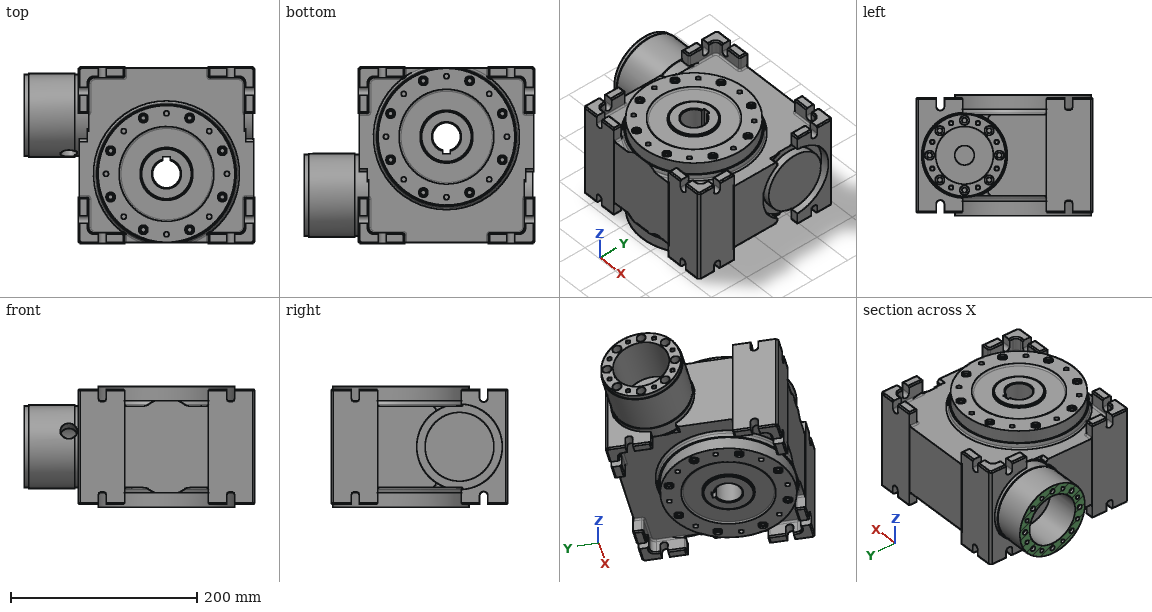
import cadquery as cq
import math


core_length_x = 188.0
core_width_y = 188.0
core_half_height = 43.7
housing_center_y = 20.0

post_overhang = 1.0
post_half_x = core_length_x / 2 + post_overhang
post_half_y = core_width_y / 2 + post_overhang
post_half_height = 62.0
post_leg_length = 50.0
post_leg_thickness = 11.5
post_inner_radius = 6.0
post_tip_radius = 2.0
post_corner_chamfer = 2.5
post_end_chamfer = 1.6
post_foot_radius = 2.0
slot_width = 8.5
slot_depth = 13.7
slot_offset = 69.0

flange_diameter = 147.0
flange_top = 65.0
flange_bottom = 49.5
neck_top_radius = 75.0
neck_base_radius = 76.5
neck_fillet = 2.0
recess_diameter = 102.0
recess_depth = 2.0
recess_fillet = 1.9
collar_diameter = 57.0
collar_height = 1.0
hub_diameter = 55.0
hub_chamfer = 0.8
bore_diameter = 30.0
bore_chamfer = 1.0
key_width = 8.0
key_top = 18.3
bolt_circle_radius = 65.0
hole_count = 8
screw_diameter = 5.5
counterbore_diameter = 10.0
flange_counterbore_depth = 7.0
screw_head_diameter = 8.5
screw_head_sink = 2.0
flange_hole_depth = 15.0

worm_y = 63.0
tube_end_x = -153.0
tube_diameter = 90.0
tube_rim_diameter = 88.0
tube_rim_length = 5.0
tube_body_end_x = -98.5
tube_bore_diameter = 62.0
tube_bore_end_x = -95.0
shaft_bore_diameter = 21.0
shaft_bore_depth = 30.0
tube_bolt_radius = 37.5
tube_counterbore_depth = 12.0
tube_hole_depth = 20.0
tap_diameter = 4.2
tap_mouth_diameter = 5.0
drill_point_angle = 118.0
access_diameter = 18.0
access_x = -105.0
access_angle = 22.5

barrel_diameter = 74.0
barrel_end_x = 93.0
clearance_diameter = 92.0
clearance_length = 10.5
clearance_bottom_x = core_length_x / 2 - clearance_length
relief_length = 9.0
relief_edge_y = 37.7
relief_slope_run = 3.0
relief_floor_z = 33.0


def x_cylinder(diameter, x_start, x_end):
    """Cylinder on the worm axis between two X positions."""
    return (
        cq.Workplane("YZ", origin=(x_start, worm_y, 0))
        .circle(diameter / 2)
        .extrude(x_end - x_start)
    )


def polar_points(radius, start_angle):
    """Equally spaced hole centres on a bolt circle."""
    points = []
    for index in range(hole_count):
        angle = math.radians(start_angle + index * 360 / hole_count)
        points.append((radius * math.cos(angle), radius * math.sin(angle)))
    return points


def make_corner_post(side_x, side_y):
    """L-shaped post of one vertical housing corner, chamfered around both ends."""
    outline = [
        (0, 0),
        (post_leg_length, 0),
        (post_leg_length, post_leg_thickness),
        (post_leg_thickness, post_leg_thickness),
        (post_leg_thickness, post_leg_length),
        (0, post_leg_length),
    ]
    corner_x = side_x * post_half_x
    corner_y = housing_center_y + side_y * post_half_y
    placed = [(corner_x - side_x * u, corner_y - side_y * v) for u, v in outline]
    post = (
        cq.Workplane("XY", origin=(0, 0, -post_half_height))
        .polyline(placed)
        .close()
        .extrude(2 * post_half_height)
    )
    inner_x = corner_x - side_x * post_leg_thickness
    inner_y = corner_y - side_y * post_leg_thickness
    post = post.edges(cq.selectors.NearestToPointSelector((inner_x, inner_y, 0))).fillet(post_inner_radius)
    outer_edge = cq.selectors.NearestToPointSelector((corner_x, corner_y, 0))
    post = post.edges(outer_edge).chamfer(post_corner_chamfer)
    tip_x = corner_x - side_x * post_leg_length
    tip_y = corner_y - side_y * post_leg_length
    for tip in ((tip_x, inner_y, 0), (inner_x, tip_y, 0)):
        post = post.edges(cq.selectors.NearestToPointSelector(tip)).fillet(post_tip_radius)
    return post.faces("|Z").chamfer(post_end_chamfer)


def make_housing():
    """Core block joined to four posts, with a rounded foot where each post meets the core."""
    posts = cq.Workplane("XY")
    for side_x in (-1, 1):
        for side_y in (-1, 1):
            posts = posts.add(make_corner_post(side_x, side_y))
    posts = posts.combine()
    column = (
        cq.Workplane("XY")
        .box(core_length_x, core_width_y, 2 * post_half_height)
        .edges("|Z")
        .chamfer(post_corner_chamfer)
        .translate((0, housing_center_y, 0))
    )
    core_slab = (
        cq.Workplane("XY")
        .box(core_length_x, core_width_y, 2 * core_half_height)
        .translate((0, housing_center_y, 0))
    )
    core = core_slab.union(posts).intersect(column).clean()
    for side_z in (-1, 1):
        inner_corners = [
            (side_x * (post_half_x - post_leg_thickness - post_inner_radius),
             housing_center_y + side_y * (post_half_y - post_leg_thickness),
             side_z * core_half_height)
            for side_x in (-1, 1)
            for side_y in (-1, 1)
        ]
        for corner in inner_corners:
            core = core.edges(cq.selectors.NearestToPointSelector(corner)).fillet(post_foot_radius)
    return core.union(posts)


def make_slots():
    """Round-bottomed clamping slots in both legs and both ends of every post."""
    radius = slot_width / 2
    arc_z = post_half_height - slot_depth + radius
    above = post_half_height + radius
    slots = cq.Workplane("XY")
    for side_x in (-1, 1):
        for side_y in (-1, 1):
            for side_z in (-1, 1):
                leg_x = side_x * (post_half_x - post_leg_thickness / 2)
                leg_y = housing_center_y + side_y * (post_half_y - post_leg_thickness / 2)
                centers = {
                    "XZ": (side_x * slot_offset, leg_y),
                    "YZ": (leg_x, housing_center_y + side_y * slot_offset),
                }
                for plane, (x, y) in centers.items():
                    cutter = (
                        cq.Workplane(plane, origin=(x, y, 0))
                        .moveTo(-radius, side_z * above)
                        .lineTo(-radius, side_z * arc_z)
                        .threePointArc((0, side_z * (arc_z - radius)), (radius, side_z * arc_z))
                        .lineTo(radius, side_z * above)
                        .close()
                        .extrude(post_leg_thickness / 2 + post_overhang, both=True)
                    )
                    slots = slots.add(cutter)
    return slots.combine()


def flange_pins(points, diameter, sink, depth):
    """Upright cylinders reaching down from a level below the flange top face."""
    return (
        cq.Workplane("XY", origin=(0, 0, flange_top - sink))
        .pushPoints(points)
        .circle(diameter / 2)
        .extrude(-depth)
    )


def make_flange():
    """Upper output flange with flared neck, recess, stepped hub and socket-head screws."""
    arc_inset = neck_fillet * (1 - math.sqrt(0.5))
    neck = (
        cq.Workplane("XZ")
        .moveTo(0, 0)
        .lineTo(neck_base_radius + neck_fillet, 0)
        .lineTo(neck_base_radius + neck_fillet, core_half_height)
        .threePointArc(
            (neck_base_radius + arc_inset, core_half_height + arc_inset),
            (neck_base_radius, core_half_height + neck_fillet),
        )
        .lineTo(neck_top_radius, flange_bottom)
        .lineTo(0, flange_bottom)
        .close()
        .revolve(360, (0, 0, 0), (0, 1, 0))
    )
    front_y = housing_center_y - core_width_y / 2
    reach = 2 * flange_diameter
    neck = neck.intersect(
        cq.Workplane("XY").box(reach, reach, reach).translate((0, front_y + reach / 2, 0))
    )
    disc = (
        cq.Workplane("XY", origin=(0, 0, flange_bottom))
        .circle(flange_diameter / 2)
        .extrude(flange_top - flange_bottom)
    )
    recess = (
        cq.Workplane("XY", origin=(0, 0, flange_top - recess_depth))
        .circle(recess_diameter / 2)
        .extrude(recess_depth)
        .faces("<Z")
        .edges()
        .fillet(recess_fillet)
    )
    hub = (
        cq.Workplane("XY", origin=(0, 0, flange_top - recess_depth))
        .circle(hub_diameter / 2)
        .extrude(recess_depth)
        .faces(">Z")
        .chamfer(hub_chamfer)
    )
    collar = (
        cq.Workplane("XY", origin=(0, 0, flange_top - recess_depth))
        .circle(collar_diameter / 2)
        .extrude(collar_height)
    )
    flange = neck.union(disc).cut(recess).union(collar).union(hub)
    screw_points = polar_points(bolt_circle_radius, 180 / hole_count)
    plain_points = polar_points(bolt_circle_radius, 0)
    socket_depth = flange_counterbore_depth - screw_head_sink
    flange = flange.cut(flange_pins(screw_points, counterbore_diameter, 0, flange_counterbore_depth))
    flange = flange.cut(flange_pins(plain_points, screw_diameter, 0, flange_hole_depth))
    heads = flange_pins(screw_points, screw_head_diameter, screw_head_sink, socket_depth)
    sockets = flange_pins(screw_points, screw_diameter, screw_head_sink, socket_depth / 2)
    return flange.union(heads.cut(sockets))


def make_output_bore():
    """Through bore with keyway and a chamfer at each mouth."""
    radius = bore_diameter / 2
    bore = cq.Workplane("XY").circle(radius).extrude(flange_top, both=True)
    keyway = (
        cq.Workplane("XY")
        .box(key_width, key_top, 2 * flange_top)
        .translate((0, key_top / 2, 0))
    )
    mouth = cq.Workplane("XY").add(
        cq.Solid.makeCone(radius, radius + bore_chamfer, bore_chamfer,
                          cq.Vector(0, 0, flange_top - bore_chamfer))
    )
    return bore.union(keyway).union(mouth).union(mouth.mirror("XY"))


def make_relief(side_x, side_z):
    """Cutter that opens the core beside the worm axis, with a sloped end wall."""
    outer_x = side_x * core_length_x / 2
    inner_x = outer_x - side_x * relief_length
    back_y = housing_center_y + post_half_y - post_leg_length
    slope_y = relief_edge_y - relief_slope_run
    return (
        cq.Workplane("YZ", origin=(inner_x, 0, 0))
        .moveTo(back_y, side_z * core_half_height)
        .lineTo(slope_y, side_z * core_half_height)
        .lineTo(relief_edge_y, side_z * (core_half_height - relief_slope_run))
        .lineTo(relief_edge_y, side_z * relief_floor_z)
        .lineTo(back_y, side_z * relief_floor_z)
        .close()
        .extrude(outer_x - inner_x)
    )


def make_tube():
    """Motor tube with a narrower rim at each end, seated in the core clearance."""
    body_start_x = tube_end_x + tube_rim_length
    tube = x_cylinder(tube_rim_diameter, tube_end_x, -clearance_bottom_x)
    return tube.union(x_cylinder(tube_diameter, body_start_x, tube_body_end_x))


def make_tube_cuts():
    """Tube bore, worm shaft bore, end-face holes and the inclined access hole."""
    cuts = x_cylinder(tube_bore_diameter, tube_end_x, tube_bore_end_x)
    cuts = cuts.union(
        x_cylinder(shaft_bore_diameter, tube_bore_end_x, tube_bore_end_x + shaft_bore_depth)
    )
    hole_sets = (
        (screw_diameter, tube_hole_depth, 0),
        (counterbore_diameter, tube_counterbore_depth, 0),
        (tap_diameter, tube_hole_depth, 180 / hole_count),
    )
    for diameter, depth, start_angle in hole_sets:
        holes = (
            cq.Workplane("YZ", origin=(tube_end_x, worm_y, 0))
            .pushPoints(polar_points(tube_bolt_radius, start_angle))
            .circle(diameter / 2)
            .extrude(depth)
        )
        cuts = cuts.union(holes)
    tip_length = tap_diameter / 2 / math.tan(math.radians(drill_point_angle / 2))
    for y, z in polar_points(tube_bolt_radius, 180 / hole_count):
        base = cq.Vector(tube_end_x + tube_hole_depth, worm_y + y, z)
        tip = cq.Solid.makeCone(tap_diameter / 2, 0, tip_length, base, cq.Vector(1, 0, 0))
        mouth = cq.Solid.makeCone(
            tap_mouth_diameter / 2,
            tap_diameter / 2,
            (tap_mouth_diameter - tap_diameter) / 2,
            cq.Vector(tube_end_x, worm_y + y, z),
            cq.Vector(1, 0, 0),
        )
        cuts = cuts.union(cq.Workplane("XY").add(tip)).union(cq.Workplane("XY").add(mouth))
    tilt = math.radians(access_angle)
    access = cq.Solid.makeCylinder(
        access_diameter / 2,
        tube_diameter / 2 + access_diameter / 2,
        cq.Vector(access_x, worm_y, 0),
        cq.Vector(0, -math.cos(tilt), math.sin(tilt)),
    )
    return cuts.union(cq.Workplane("XY").add(access))


def make_part():
    """Assemble the complete gearbox body."""
    body = make_housing()
    for side_x in (-1, 1):
        for side_z in (-1, 1):
            body = body.cut(make_relief(side_x, side_z))
        body = body.cut(x_cylinder(clearance_diameter, side_x * clearance_bottom_x, side_x * post_half_x))
    body = body.union(x_cylinder(barrel_diameter, clearance_bottom_x, barrel_end_x))
    body = body.union(make_tube())
    flange = make_flange()
    body = body.cut(make_slots())
    body = body.union(flange).union(flange.mirror("XY"))
    return body.cut(make_output_bore()).cut(make_tube_cuts())


result = make_part()